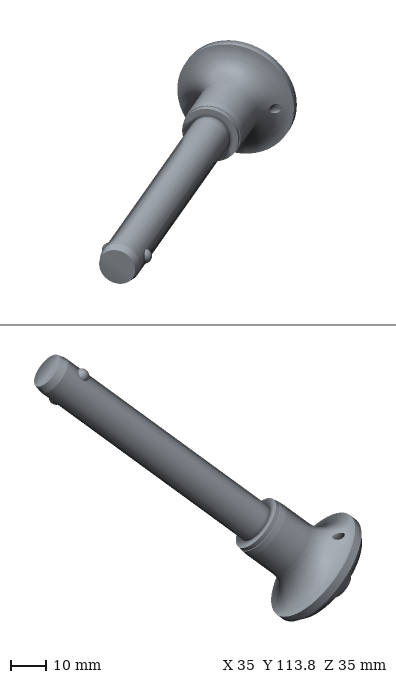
import cadquery as cq
import math


shank_radius = 6.0
shank_length = 80.8
tip_length = 2.5
tip_radius = 5.4

ball_radius = 2.15
ball_reach = 7.4
ball_to_tip = 8.5

collar_radius = 8.4
collar_length = 1.4
body_radius = 8.8
body_end_radius = 8.65
body_taper_length = 2.0
rim_radius = 17.5
flare_radius = rim_radius - body_radius
rim_length = 2.5
rim_chamfer = 2.5
handle_length = 27.1

button_radius = 4.3
button_length = 5.9
button_chamfer_length = 0.4
button_chamfer_depth = 0.15

lanyard_hole_radius = 1.5
lanyard_hole_offset = 12.5


def make_turned_body():
    """Shank, collar, flared handle and button as one revolved outline of (radius, Y) points."""
    tip_y = -shank_length
    body_start_y = collar_length
    body_end_y = body_start_y + body_taper_length
    flare_start_y = handle_length - rim_chamfer - rim_length - flare_radius
    flare_end_y = flare_start_y + flare_radius
    rim_end_y = flare_end_y + rim_length
    button_y = handle_length + button_length

    flare_mid = (
        rim_radius - flare_radius * math.cos(math.pi / 4),
        flare_start_y + flare_radius * math.sin(math.pi / 4),
    )
    outline = (
        cq.Workplane("XY")
        .moveTo(0, tip_y)
        .lineTo(tip_radius, tip_y)
        .lineTo(shank_radius, tip_y + tip_length)
        .lineTo(shank_radius, 0)
        .lineTo(collar_radius, 0)
        .lineTo(collar_radius, body_start_y)
        .lineTo(body_end_radius, body_start_y)
        .lineTo(body_radius, body_end_y)
        .lineTo(body_radius, flare_start_y)
        .threePointArc(flare_mid, (rim_radius, flare_end_y))
        .lineTo(rim_radius, rim_end_y)
        .lineTo(rim_radius - rim_chamfer, handle_length)
        .lineTo(button_radius, handle_length)
        .lineTo(button_radius, button_y - button_chamfer_length)
        .lineTo(button_radius - button_chamfer_depth, button_y)
        .lineTo(0, button_y)
        .close()
    )
    return outline.revolve(360, (0, 0, 0), (0, 1, 0))


def make_ball(side):
    """Locking ball standing out of the shank on the +X (side = 1) or -X (side = -1) side."""
    center_x = side * (ball_reach - ball_radius)
    center_y = ball_to_tip - shank_length
    return cq.Workplane("XY").sphere(ball_radius).translate((center_x, center_y, 0))


def make_lanyard_hole():
    """Cutter parallel to the pin's axis, as long as the handle."""
    hole = cq.Workplane("XZ").center(lanyard_hole_offset, 0).circle(lanyard_hole_radius)
    return hole.extrude(-handle_length)


result = make_turned_body()
for ball_side in (-1, 1):
    result = result.union(make_ball(ball_side))
result = result.cut(make_lanyard_hole())